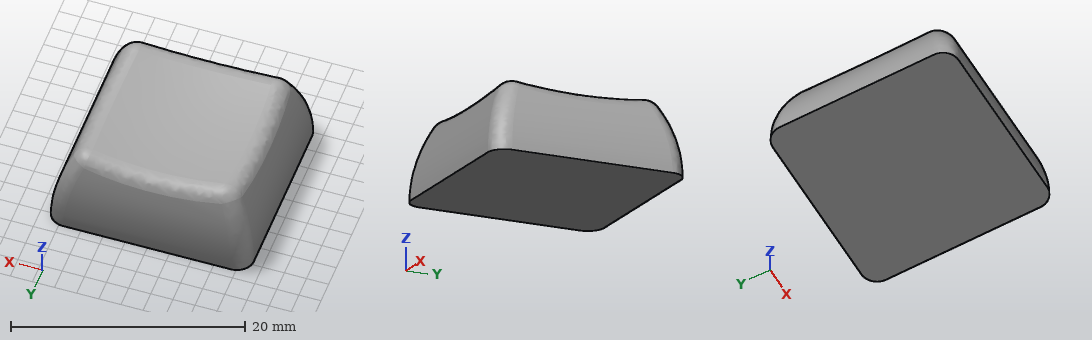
import cadquery as cq
import math

base_width = 18.29
side_radius = 13.53
dish_radius = 37.5
dish_floor = 6.09
edge_radius = 1.55
blank_height = 9.15

half_width = base_width / 2


def wall_offset(height):
    """Half width of the bulged profile at a given height."""
    return half_width - side_radius + math.sqrt(side_radius**2 - height**2)


def bulged_bar(plane):
    """Bar with two arched sides, extruded across the full base width."""
    top = wall_offset(blank_height)
    middle_height = blank_height / 2
    middle = wall_offset(middle_height)
    return (
        cq.Workplane(plane)
        .moveTo(-half_width, 0)
        .lineTo(half_width, 0)
        .threePointArc((middle, middle_height), (top, blank_height))
        .lineTo(-top, blank_height)
        .threePointArc((-middle, middle_height), (-half_width, 0))
        .close()
        .extrude(half_width, both=True)
    )


cap = bulged_bar("XZ").intersect(bulged_bar("YZ"))

dish = (
    cq.Workplane("XY")
    .sphere(dish_radius)
    .rotate((0, 0, 0), (0, 1, 0), -90)
    .translate((0, 0, dish_floor + dish_radius))
)
cap = cap.cut(dish)

result = cap.edges("not(<Z)").fillet(edge_radius)